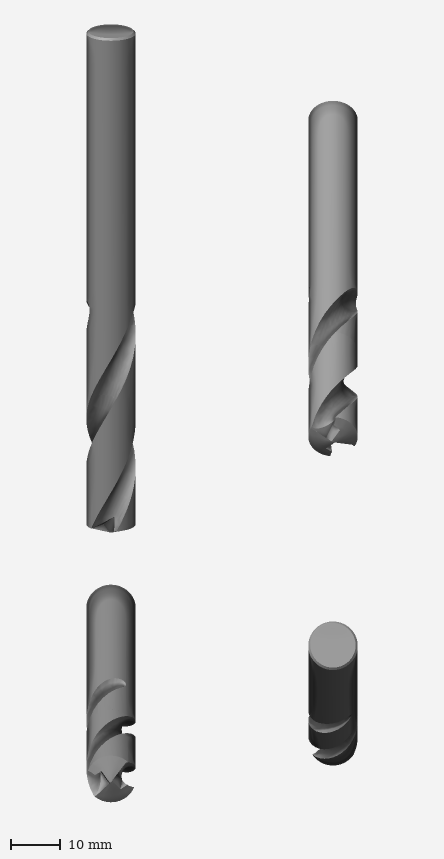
import cadquery as cq
import math

length = 106.0
radius = 5.0
top_chamfer = 0.4
point_angle = 140.0
split_height = 29.7

flute_count = 2
helix_pitch = 56.0
flute_centre = 4.94
flute_circle = 2.82
flute_phase_height = 12.7
flute_start = -1.1
runout_start = 43.6
runout_end = 49.3
runout_steps = 3

gash_rear_bottom = 0.3
gash_rear_top = 1.4
gash_lip_x = -1.4
gash_lip_height = 1.7
gash_peak_x = 2.0
gash_peak_height = 4.1
gash_heel_x = 2.9

point_height = radius / math.tan(math.radians(point_angle / 2))


def flute_angle(height):
    """Angular place, in degrees, of the first flute at a height."""
    return 360.0 * (height - flute_phase_height) / helix_pitch


def flute_section(height, centre_distance):
    """Horizontal circle of the first flute, moved away from the axis as asked."""
    centre = cq.Vector(centre_distance, 0, height)
    circle = cq.Wire.makeCircle(flute_circle, centre, cq.Vector(0, 0, 1))
    return circle.rotate(cq.Vector(0, 0, 0), cq.Vector(0, 0, 1), flute_angle(height))


def make_flute():
    """Constant-depth helical groove of the first flute."""
    rise = runout_start - flute_start
    return (
        cq.Workplane("XY")
        .moveTo(flute_centre, 0)
        .circle(flute_circle)
        .twistExtrude(rise, 360.0 * rise / helix_pitch)
        .rotate((0, 0, 0), (0, 0, 1), flute_angle(flute_start))
        .translate((0, 0, flute_start))
    )


def make_runout():
    """Upper end of the first flute, which rises smoothly out of the surface."""
    outward_travel = radius + flute_circle - flute_centre
    sections = []
    for step in range(runout_steps + 1):
        fraction = step / runout_steps
        height = runout_start + fraction * (runout_end - runout_start)
        sections.append(flute_section(height, flute_centre + outward_travel * fraction**2))
    return cq.Workplane(obj=cq.Solid.makeLoft(sections))


def make_gash():
    """Peaked notch with a sloping rear wall, in front of the first cutting edge."""
    outside = 2 * radius
    front_shape = (
        cq.Workplane("XZ")
        .moveTo(gash_lip_x, gash_lip_height)
        .lineTo(gash_peak_x, gash_peak_height)
        .lineTo(gash_heel_x, 0)
        .lineTo(0, 0)
        .close()
        .extrude(outside)
    )
    ahead_of_rear_wall = (
        cq.Workplane("YZ")
        .moveTo(-gash_rear_bottom, 0)
        .lineTo(-gash_rear_top, gash_peak_height)
        .lineTo(-outside, gash_peak_height)
        .lineTo(-outside, 0)
        .close()
        .extrude(outside, both=True)
    )
    return front_shape.intersect(ahead_of_rear_wall)


def cut_around(body, cutter):
    """Cut a body with copies of a cutter spaced evenly around the axis."""
    for index in range(flute_count):
        body = body.cut(cutter.rotate((0, 0, 0), (0, 0, 1), index * 360.0 / flute_count))
    return body


def make_cutting_tip():
    blank = (
        cq.Workplane("XZ")
        .lineTo(radius, point_height)
        .lineTo(radius, split_height)
        .lineTo(0, split_height)
        .close()
        .revolve(360, (0, 0, 0), (0, 1, 0))
    )
    return cut_around(cut_around(blank, make_flute()), make_gash())


def make_shank():
    blank = (
        cq.Workplane("XY", origin=(0, 0, split_height))
        .circle(radius)
        .extrude(length - split_height)
        .faces(">Z")
        .chamfer(top_chamfer)
    )
    return cut_around(cut_around(blank, make_flute()), make_runout())


cutting_tip = make_cutting_tip()
shank = make_shank()

result = cq.Compound.makeCompound([cutting_tip.val(), shank.val()])